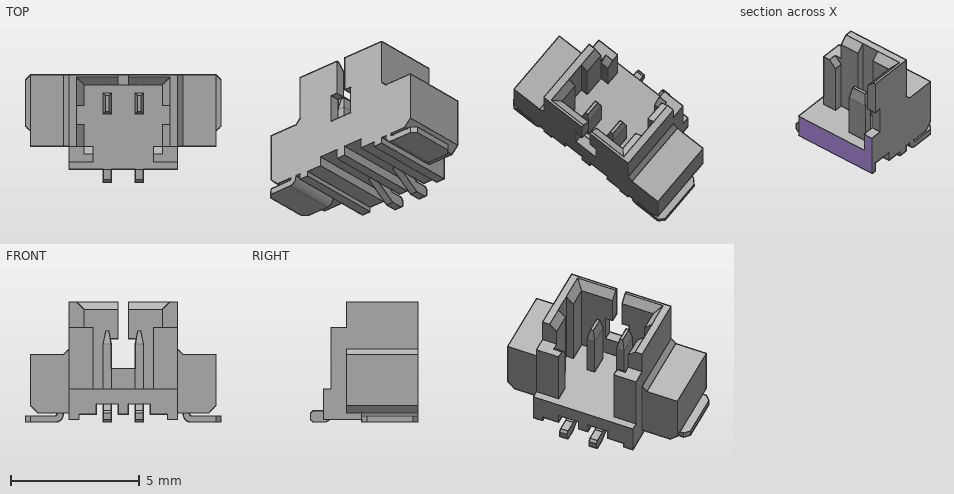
import cadquery as cq


body_width = 4.25
body_height = 4.7
base_depth = 3.7
wall_depth = 2.8
floor_top = 1.3
side_wall = 0.3
back_wall = 0.4
lead_in = 0.3
rib_depth = 0.3
rear_rib_end = 1.2
front_rib_start = 1.95

post_height = 3.7
post_front = 3.4
post_inner_x = 1.175

slot_width = 0.4
window_width = 1.0
window_bottom = 2.1
window_top = 3.25

foot_bottom = 0.1
foot_width = 0.4
underside = 0.3
notch_top = 0.7
notch_width = 0.85

wing_span = 7.25
wing_bottom = 0.35
wing_top = 2.65
wing_chamfer = 0.3
wing_gusset = 0.2

tab_span = 7.65
tab_depth = 2.2
tab_thickness = 0.25
tab_leg_inner_x = 2.34
tab_leg_thickness = 0.26
tab_inner_radius = 0.05
tab_outer_radius = 0.3
tab_corner = 0.2
tab_embed = 0.3

pin_pitch = 1.25
pin_width = 0.32
pin_depth = 0.81
pin_rear = 0.72
pin_top = 3.55
pin_taper_height = 0.5
pin_taper_inset = 0.1
pin_embed = 0.3
tail_end = 4.2
tail_height = 0.45
tail_tip_chamfer = 0.1
tail_bend = 3.6
lead_slope = 0.65
lead_top = 0.9

body_half = body_width / 2
cavity_half = body_half - side_wall
rib_inner_x = cavity_half - rib_depth
mirror_sides = (-1, 1)
pin_positions = (-pin_pitch / 2, pin_pitch / 2)


def block(x_range, depth_range, z_range):
    """Box between two X values, two depths and two heights."""
    (x0, x1), (d0, d1), (z0, z1) = x_range, depth_range, z_range
    return cq.Workplane("XY").box(x1 - x0, d1 - d0, z1 - z0, centered=False).translate((x0, -d1, z0))


def centered_block(width, depth_range, z_range):
    """Box centered on X = 0."""
    return block((-width / 2, width / 2), depth_range, z_range)


def side_block(side, x_range, depth_range, z_range):
    """Box given for the +X side, placed on the chosen side."""
    x0, x1 = sorted(side * x for x in x_range)
    return block((x0, x1), depth_range, z_range)


def make_shell():
    """Base, back wall and side walls, with a sloped lead-in at the cavity mouth."""
    base = centered_block(body_width, (0, base_depth), (foot_bottom, floor_top))
    walls = centered_block(body_width, (0, wall_depth), (floor_top, body_height))
    cavity = centered_block(2 * rib_inner_x, (back_wall, wall_depth), (floor_top, body_height))
    overrun = 2 * lead_in
    cutter_length = wall_depth + overrun - back_wall
    lead_in_cutter = (
        cq.Workplane("XY", origin=(0, -back_wall - cutter_length / 2, body_height - lead_in))
        .rect(2 * rib_inner_x, cutter_length)
        .workplane(offset=lead_in)
        .rect(2 * cavity_half, cutter_length + 2 * lead_in)
        .loft(ruled=True)
    )
    return base.union(walls.cut(cavity).cut(lead_in_cutter))


def cut_side_recesses(body):
    """Recess between the two ribs of each side wall."""
    for side in mirror_sides:
        recess = side_block(
            side, (rib_inner_x, cavity_half), (rear_rib_end, front_rib_start), (floor_top, body_height)
        )
        body = body.cut(recess)
    return body


def make_post(side):
    """Front post with the inner part of its rear top edge chamfered."""
    post = side_block(side, (post_inner_x, body_half), (wall_depth, post_front), (floor_top, post_height))
    chamfer = (
        cq.Workplane("YZ", origin=(side * post_inner_x, 0, 0))
        .moveTo(-wall_depth, post_height - lead_in)
        .lineTo(-wall_depth, post_height)
        .lineTo(-wall_depth - lead_in, post_height)
        .close()
        .extrude(side * (rib_inner_x - post_inner_x))
    )
    return post.cut(chamfer)


def cut_back_opening(body):
    """Narrow slot from the top, widening into a window above the floor."""
    slot = centered_block(slot_width, (0, back_wall), (window_bottom, body_height))
    window = centered_block(window_width, (0, back_wall), (window_bottom, window_top))
    return body.cut(slot).cut(window)


def cut_underside(body):
    """Raise the underside between the feet and notch it around each pin tail."""
    body = body.cut(centered_block(body_width - 2 * foot_width, (0, base_depth), (foot_bottom, underside)))
    for x in pin_positions:
        notch = block((x - notch_width / 2, x + notch_width / 2), (0, base_depth), (underside, notch_top))
        body = body.cut(notch)
    return body


def make_wing(side):
    """Side wing with a chamfered lower edge and a small gusset against the wall."""
    outer_x = wing_span / 2
    profile = [
        (body_half, wing_bottom),
        (outer_x - wing_chamfer, wing_bottom),
        (outer_x, wing_bottom + wing_chamfer),
        (outer_x, wing_top),
        (body_half + wing_gusset, wing_top),
        (body_half, wing_top + wing_gusset),
    ]
    points = [(side * x, z) for x, z in profile]
    return cq.Workplane("XZ").polyline(points).close().extrude(wall_depth)


def make_tab(side):
    """Bent solder tab: a foot on Z = 0 and a leg running up into the wing."""
    outer_x = tab_span / 2
    leg_outer_x = tab_leg_inner_x + tab_leg_thickness
    leg_top = wing_bottom + tab_embed
    tab = (
        cq.Workplane("XZ")
        .moveTo(outer_x, 0)
        .lineTo(tab_leg_inner_x + tab_outer_radius, 0)
        .radiusArc((tab_leg_inner_x, tab_outer_radius), tab_outer_radius)
        .lineTo(tab_leg_inner_x, leg_top)
        .lineTo(leg_outer_x, leg_top)
        .lineTo(leg_outer_x, tab_thickness + tab_inner_radius)
        .radiusArc((leg_outer_x + tab_inner_radius, tab_thickness), -tab_inner_radius)
        .lineTo(outer_x, tab_thickness)
        .close()
        .extrude(tab_depth)
        .edges("|Z and >X")
        .chamfer(tab_corner)
    )
    return tab if side > 0 else tab.mirror("YZ")


def make_contact(x):
    """Upright pin with a tapered tip, and its solder tail leaving below the front."""
    taper_start = pin_top - pin_taper_height
    shaft_bottom = floor_top - pin_embed
    shaft = block(
        (x - pin_width / 2, x + pin_width / 2), (pin_rear, pin_rear + pin_depth), (shaft_bottom, taper_start)
    )
    tip = (
        cq.Workplane("XY", origin=(x, -pin_rear - pin_depth / 2, taper_start))
        .rect(pin_width, pin_depth)
        .workplane(offset=pin_taper_height)
        .rect(pin_width - 2 * pin_taper_inset, pin_depth - 2 * pin_taper_inset)
        .loft(ruled=True)
    )
    tail_profile = [
        (tail_bend, 0),
        (tail_end - tail_tip_chamfer, 0),
        (tail_end, tail_tip_chamfer),
        (tail_end, tail_height - tail_tip_chamfer),
        (tail_end - tail_tip_chamfer, tail_height),
        (tail_bend, tail_height),
        (tail_bend - (lead_top - tail_height) / lead_slope, lead_top),
        (tail_bend - lead_top / lead_slope, lead_top),
    ]
    tail = (
        cq.Workplane("YZ", origin=(x - pin_width / 2, 0, 0))
        .polyline([(-depth, z) for depth, z in tail_profile])
        .close()
        .extrude(pin_width)
    )
    return shaft.union(tip).union(tail)


result = cut_side_recesses(make_shell())
result = cut_back_opening(result)
result = cut_underside(result)
for side in mirror_sides:
    result = result.union(make_post(side))
    result = result.union(make_wing(side))
    result = result.union(make_tab(side))
for x in pin_positions:
    result = result.union(make_contact(x))